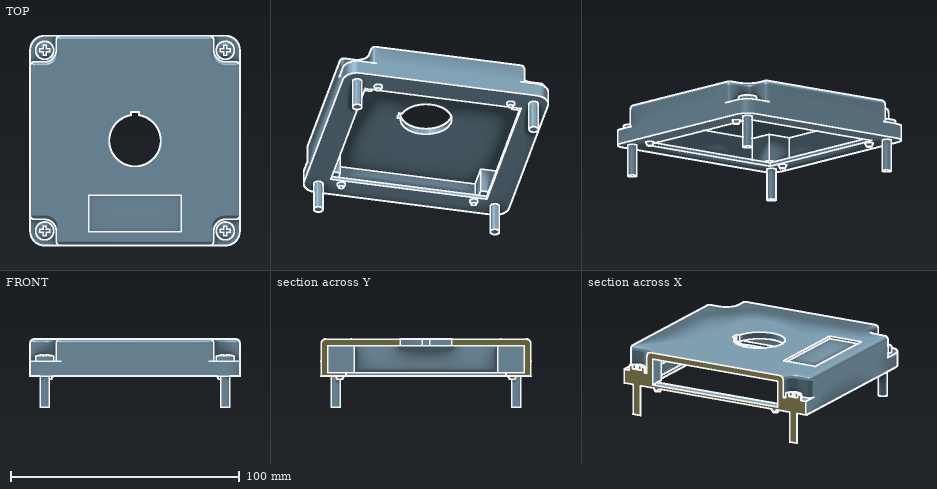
import cadquery as cq
import math


side = 92.0
cover_top = 16.3
corner_radius = 6.4
wall = 3.0

step_height = 6.4
step_width = 11.5
step_radius = step_width - corner_radius
edge_round = 2.0

gasket_thickness = 1.6
gasket_width = 11.0
peg_x = 37.7
peg_y = 29.7
peg_height = 1.5
peg_base_radius = 1.8
peg_tip_radius = 1.1

screw_offset = side / 2 - corner_radius
shank_radius = 2.0
shank_bottom = -13.7
head_radius = 4.0
head_rim_height = 2.2
head_edge_round = 0.5
head_height = 2.9
cross_length = 4.2
cross_width = 1.3
cross_depth = 2.0

hole_radius = 11.2
notch_width = 3.5
notch_reach = 12.5

label_length = 40.4
label_width = 16.0
label_y = -31.8
label_depth = 1.2


def block(length, width, bottom, top):
    """Box centred on the Z axis between two heights."""
    profile = cq.Workplane("XY").workplane(offset=bottom).rect(length, width)
    return profile.extrude(top - bottom)


def at_corners(shape, x, y):
    """Four copies of a shape, one in each quadrant."""
    copies = cq.Workplane("XY")
    for sign_x in (-1, 1):
        for sign_y in (-1, 1):
            copies = copies.union(shape.translate((sign_x * x, sign_y * y, 0)))
    return copies


def make_base():
    """Full square slab that reaches up to the corner steps."""
    slab = block(side, side, gasket_thickness, step_height)
    return slab.edges("|Z").fillet(corner_radius)


def make_raised_part():
    """Upper body with its corners cut back and its outer edges rounded."""
    corner = block(2 * step_width, 2 * step_width, step_height, cover_top)
    corner = corner.edges("|Z").fillet(step_radius)
    body = block(side, side, step_height, cover_top)
    body = body.cut(at_corners(corner, side / 2, side / 2))
    for selector in ("<X", ">X", "<Y", ">Y"):
        body = body.faces(selector).edges("|Z").fillet(edge_round)
    return body.faces(">Z").edges().fillet(edge_round)


def make_cavity():
    """Hollow inside, open below, leaving solid corners around the screws."""
    inner_side = side - 2 * wall
    corner_side = 2 * (step_width + wall)
    cavity_top = cover_top - wall
    hollow = block(inner_side, inner_side, gasket_thickness, cavity_top)
    corner = block(corner_side, corner_side, gasket_thickness, cavity_top)
    return hollow.cut(at_corners(corner, side / 2, side / 2))


def make_panel_hole():
    """Round hole through the top wall with a key notch on its +Y side."""
    start = cq.Workplane("XY").workplane(offset=cover_top - wall)
    hole = start.circle(hole_radius).extrude(wall)
    notch = start.center(0, notch_reach / 2).rect(notch_width, notch_reach).extrude(wall)
    return hole.union(notch)


def make_label_recess():
    recess = block(label_length, label_width, cover_top - label_depth, cover_top)
    return recess.translate((0, label_y, 0))


def make_gasket():
    """Flat ring under the cover with four tapered pegs below it."""
    opening = side - 2 * gasket_width
    ring = block(side, side, 0, gasket_thickness).edges("|Z").fillet(corner_radius)
    ring = ring.cut(block(opening, opening, 0, gasket_thickness))
    peg = (
        cq.Workplane("XY")
        .circle(peg_base_radius)
        .workplane(offset=-peg_height)
        .circle(peg_tip_radius)
        .loft()
    )
    return ring.union(at_corners(peg, peg_x, peg_y))


def make_screw():
    """Domed screw with a cross recess, standing on the Z axis."""
    rim_z = step_height + head_rim_height
    top_z = step_height + head_height
    dome_rise = head_height - head_rim_height
    dome_radius = (head_radius**2 + dome_rise**2) / (2 * dome_rise)
    mid_radius = head_radius / 2
    mid_z = top_z - dome_radius + math.sqrt(dome_radius**2 - mid_radius**2)
    screw = (
        cq.Workplane("XZ")
        .moveTo(0, shank_bottom)
        .lineTo(shank_radius, shank_bottom)
        .lineTo(shank_radius, step_height)
        .lineTo(head_radius, step_height)
        .lineTo(head_radius, rim_z)
        .threePointArc((mid_radius, mid_z), (0, top_z))
        .close()
        .revolve(360, (0, 0, 0), (0, 1, 0))
    )
    screw = screw.faces(">Z").edges("%CIRCLE").edges("<Z").fillet(head_edge_round)
    for length, width in ((cross_length, cross_width), (cross_width, cross_length)):
        screw = screw.cut(block(length, width, top_z - cross_depth, top_z))
    return screw


cover = make_base().union(make_raised_part())
cover = cover.cut(make_cavity()).cut(make_panel_hole()).cut(make_label_recess())
cover = cover.union(at_corners(make_screw(), screw_offset, screw_offset))
result = cover.union(make_gasket(), clean=False)